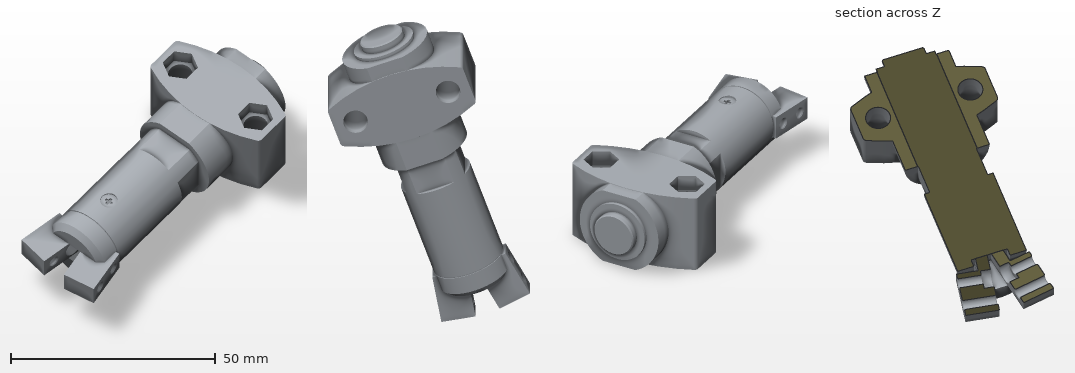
import cadquery as cq
import math

total_length = 77.8

block_width = 35.0
block_height = 20.2
block_depth = 18.05
bulge_radius = 40.0
corner_fillet = 1.0

collar_diameter = 22.0
collar_across_flats = 20.0
collar_rear_y = 12.5
collar_front_y = -16.6

bolt_offset = 12.0
bolt_hole_diameter = 6.0
nut_across_flats = 7.55
nut_pocket_depth = 4.0

housing_diameter = 18.0
stem_diameter = 15.3
stem_rear_y = 13.5
boss_diameter = 11.0
boss_rear_y = 15.4
boss_chamfer = 0.3

neck_across_flats = 15.2
neck_front_y = -24.5

groove_rear_y = -48.4
groove_width = 0.3
groove_diameter = 17.5
cap_front_y = -54.6
cap_chamfer = 1.5

screw_y = -41.55
screw_diameter = 4.3
screw_face_z = 8.5
cross_diameter = 2.0
cross_arm_width = 0.7
cross_depth = 0.5

jaw_angle = 9.3
jaw_height = 6.0
jaw_width = 8.5
jaw_length = 12.3
jaw_tip_y = boss_rear_y - total_length
jaw_tip_x = 3.1
tail_width = 3.1
tail_length = 3.9

jaw_hole_diameter = 2.5
jaw_hole_chamfer = 0.2
jaw_counterbore_diameter = 5.0
jaw_counterbore_depth = 2.5
front_hole_distance = 3.1
rear_hole_distance = 9.5

tail_pocket_width = 9.3
inner_edge_length = jaw_length + tail_length
tail_pocket_floor_y = jaw_tip_y + inner_edge_length * math.cos(math.radians(jaw_angle))


def rod(diameter, front_y, rear_y):
    """Round bar along Y."""
    length = rear_y - front_y
    return cq.Workplane("XZ", origin=(0, rear_y, 0)).circle(diameter / 2).extrude(length)


def slab(width, height, front_y, rear_y):
    """Rectangular bar along Y, centred on the axis."""
    length = rear_y - front_y
    return cq.Workplane("XZ", origin=(0, rear_y, 0)).rect(width, height).extrude(length)


def make_mount():
    half_width = block_width / 2
    half_depth = block_depth / 2
    bulge_sag = bulge_radius - math.sqrt(bulge_radius**2 - half_width**2)
    corner_y = half_depth - bulge_sag
    block = (
        cq.Workplane("XY", origin=(0, 0, -block_height / 2))
        .moveTo(-half_width, -corner_y)
        .threePointArc((0, -half_depth), (half_width, -corner_y))
        .lineTo(half_width, corner_y)
        .threePointArc((0, half_depth), (-half_width, corner_y))
        .close()
        .extrude(block_height)
        .edges("|Z")
        .fillet(corner_fillet)
    )

    collar = rod(collar_diameter, collar_front_y, collar_rear_y)
    collar_flats = slab(collar_diameter, collar_across_flats, collar_front_y, collar_rear_y)
    mount = block.union(collar.intersect(collar_flats))
    mount = mount.cut(rod(stem_diameter, collar_front_y, collar_rear_y))

    bolt_points = [(-bolt_offset, 0), (bolt_offset, 0)]
    bolt_holes = (
        cq.Workplane("XY", origin=(0, 0, -block_height / 2))
        .pushPoints(bolt_points)
        .circle(bolt_hole_diameter / 2)
        .extrude(block_height)
    )
    nut_across_corners = nut_across_flats / math.cos(math.radians(30))
    nut_pockets = (
        cq.Workplane("XY", origin=(0, 0, block_height / 2 - nut_pocket_depth))
        .transformed(rotate=(0, 0, 90))
        .pushPoints([(y, x) for x, y in bolt_points])
        .polygon(6, nut_across_corners)
        .extrude(nut_pocket_depth)
    )
    return mount.cut(bolt_holes).cut(nut_pockets)


def make_screw_recess():
    """Sunk round screw face with a cross recess in it."""
    face_recess = (
        cq.Workplane("XY", origin=(0, screw_y, screw_face_z))
        .circle(screw_diameter / 2)
        .extrude(housing_diameter / 2 - screw_face_z)
    )
    cross_plane = cq.Workplane("XY", origin=(0, screw_y, screw_face_z))
    arm_x = cross_plane.rect(cross_diameter, cross_arm_width).extrude(-cross_depth)
    arm_y = cross_plane.rect(cross_arm_width, cross_diameter).extrude(-cross_depth)
    cross_outline = cross_plane.circle(cross_diameter / 2).extrude(-cross_depth)
    return face_recess.union(arm_x.union(arm_y).intersect(cross_outline))


def make_housing():
    barrel = rod(housing_diameter, cap_front_y, collar_front_y).faces("<Y").chamfer(cap_chamfer)

    neck = rod(housing_diameter, neck_front_y, collar_front_y)
    neck_square = slab(neck_across_flats, neck_across_flats, neck_front_y, collar_front_y)
    barrel = barrel.cut(neck.cut(neck_square))

    groove_front_y = groove_rear_y - groove_width
    groove = rod(housing_diameter, groove_front_y, groove_rear_y)
    barrel = barrel.cut(groove.cut(rod(groove_diameter, groove_front_y, groove_rear_y)))

    barrel = barrel.cut(slab(housing_diameter, jaw_height, cap_front_y, groove_rear_y))
    barrel = barrel.cut(slab(tail_pocket_width, jaw_height, groove_rear_y, tail_pocket_floor_y))
    barrel = barrel.cut(make_screw_recess())

    stem = rod(stem_diameter, collar_front_y, stem_rear_y)
    boss = rod(boss_diameter, stem_rear_y, boss_rear_y).faces(">Y").chamfer(boss_chamfer)
    return barrel.union(stem).union(boss)


def make_jaw(side):
    """One jaw; side is 1 for the +X jaw and -1 for the -X jaw.

    It is drawn straight, with the inner edge of its tip at the origin and its tail
    toward +Y, and then swung open and moved into place.
    The end of the tail is slanted, so that it lies flat on the floor of its pocket.
    """
    tail_outer_length = inner_edge_length - tail_width * math.tan(math.radians(jaw_angle))
    jaw = (
        cq.Workplane("XY", origin=(0, 0, -jaw_height / 2))
        .moveTo(0, 0)
        .lineTo(side * jaw_width, 0)
        .lineTo(side * jaw_width, jaw_length)
        .lineTo(side * tail_width, jaw_length)
        .lineTo(side * tail_width, tail_outer_length)
        .lineTo(0, inner_edge_length)
        .close()
        .extrude(jaw_height)
    )

    across = cq.Vector(side, 0, 0)

    def bore(diameter, distance, depth):
        return cq.Solid.makeCylinder(diameter / 2, depth, cq.Vector(0, distance, 0), across)

    def countersink(distance, x, direction):
        return cq.Solid.makeCone(
            jaw_hole_diameter / 2 + jaw_hole_chamfer,
            jaw_hole_diameter / 2,
            jaw_hole_chamfer,
            cq.Vector(x, distance, 0),
            direction,
        )

    for distance in (front_hole_distance, rear_hole_distance):
        jaw = jaw.cut(bore(jaw_hole_diameter, distance, jaw_width))
        jaw = jaw.cut(countersink(distance, side * jaw_width, -across))
    jaw = jaw.cut(countersink(front_hole_distance, 0, across))
    jaw = jaw.cut(bore(jaw_counterbore_diameter, rear_hole_distance, jaw_counterbore_depth))

    tip_corner = (side * jaw_tip_x, jaw_tip_y, 0)
    return jaw.rotate((0, 0, 0), (0, 0, 1), side * jaw_angle).translate(tip_corner)


mount = make_mount()
housing = make_housing()
jaws = [make_jaw(side) for side in (-1, 1)]

result = cq.Compound.makeCompound([mount.val(), housing.val(), *[jaw.val() for jaw in jaws]])